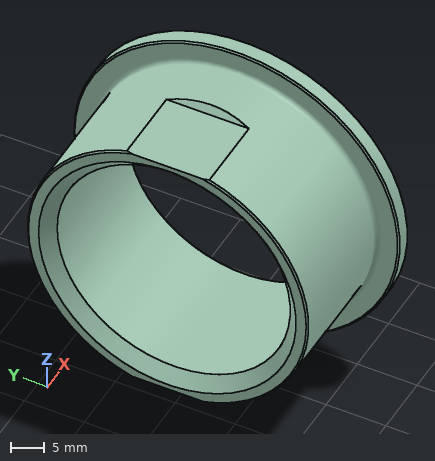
import cadquery as cq
import math

total_length = 25.0
flange_diameter = 54.5
flange_thickness = 3.0
sleeve_diameter = 47.0
bore_diameter = 38.95
edge_chamfer = 0.25
root_fillet = 0.8

lead_in_diameter = 43.05
lead_in_length = (lead_in_diameter - bore_diameter) / 2

flat_height = 22.45
flat_length = 12.9

flange_radius = flange_diameter / 2
sleeve_radius = sleeve_diameter / 2
bore_radius = bore_diameter / 2
lead_in_radius = lead_in_diameter / 2
flange_face = total_length - flange_thickness
flat_depth = sleeve_radius - flat_height


def make_body():
    """Revolved bushing wall, including the bore, lead-in and root fillet."""
    arc_offset = root_fillet * (1 - math.sqrt(0.5))
    fillet_middle = (flange_face - arc_offset, sleeve_radius + arc_offset)
    fillet_end = (flange_face, sleeve_radius + root_fillet)
    return (
        cq.Workplane("XY")
        .moveTo(0, lead_in_radius)
        .lineTo(0, sleeve_radius - edge_chamfer)
        .lineTo(edge_chamfer, sleeve_radius)
        .lineTo(flange_face - root_fillet, sleeve_radius)
        .threePointArc(fillet_middle, fillet_end)
        .lineTo(flange_face, flange_radius - edge_chamfer)
        .lineTo(flange_face + edge_chamfer, flange_radius)
        .lineTo(total_length - edge_chamfer, flange_radius)
        .lineTo(total_length, flange_radius - edge_chamfer)
        .lineTo(total_length, bore_radius + edge_chamfer)
        .lineTo(total_length - edge_chamfer, bore_radius)
        .lineTo(lead_in_length, bore_radius)
        .close()
        .revolve(360, (0, 0, 0), (1, 0, 0))
    )


def make_flat_cut():
    """Material above the upper flat, up to the sloping run-out."""
    return (
        cq.Workplane("XZ")
        .moveTo(0, flat_height)
        .lineTo(flat_length, flat_height)
        .lineTo(flat_length + flat_depth, sleeve_radius)
        .lineTo(0, sleeve_radius)
        .close()
        .extrude(sleeve_radius, both=True)
    )


upper_flat_cut = make_flat_cut()
lower_flat_cut = upper_flat_cut.mirror("XY")
result = make_body().cut(upper_flat_cut).cut(lower_flat_cut)